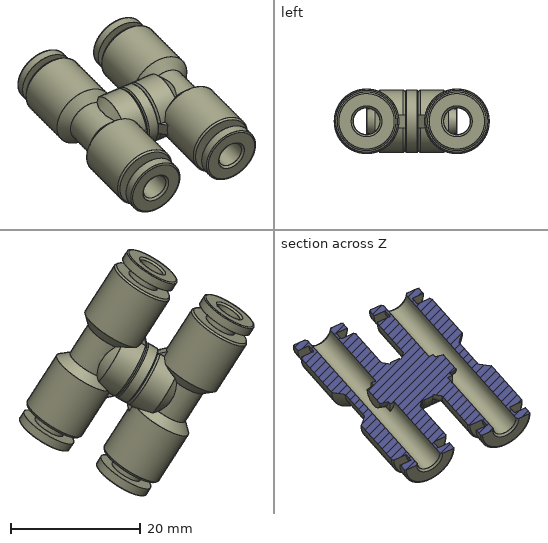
import cadquery as cq

length = 32.2
width = 24.0
height = 10.0
body_radius = height / 2
tube_offset = width / 2 - body_radius

neck_radius = 3.48
neck_half_length = 2.75
taper_end = 4.2
body_end = 13.27
body_chamfer_length = 0.32
body_chamfer_depth = 0.23
stem_radius = 2.55
collar_radius = 4.55
collar_width = 1.48
collar_chamfer_length = 0.13
collar_chamfer_depth = 0.25
bore_radius = 2.05
bore_chamfer = 0.32

bridge_radius = 4.85
cone_start = 0.7
cone_end = cone_start + bridge_radius - neck_radius
ring_half_width = 0.8
groove_position = 1.0
groove_radius = 4.6
groove_outer_edge = 1.32

web_thickness = 2.0
web_root_y = 2.58

stop_overlap = 0.15
stop_height = 2 * (bore_radius + stop_overlap)
stop_near_edge = 1.3
stop_far_edge = 2.4
pin_tip_radius = 1.87
pin_radius = 2.13
pin_taper_length = 1.03


def make_tube():
    """Solid tube along X through the origin, with a push-in collar at each end."""
    end = length / 2
    collar_back = end - collar_width
    half_profile = [
        (neck_half_length, neck_radius),
        (taper_end, body_radius),
        (body_end - body_chamfer_length, body_radius),
        (body_end, body_radius - body_chamfer_depth),
        (body_end, stem_radius),
        (collar_back, stem_radius),
        (collar_back, collar_radius),
        (end - collar_chamfer_length, collar_radius),
        (end, collar_radius - collar_chamfer_depth),
        (end, 0),
    ]
    mirrored = [(-x, r) for x, r in reversed(half_profile)]
    profile = cq.Workplane("XY").polyline(mirrored + half_profile).close()
    return profile.revolve(360, (0, 0), (1, 0))


def make_bore():
    """Through bore along X with a chamfered mouth at each end."""
    end = length / 2
    mouth_radius = bore_radius + bore_chamfer
    shoulder = end - bore_chamfer
    profile = cq.Workplane("XY").polyline([
        (-end, 0),
        (-end, mouth_radius),
        (-shoulder, bore_radius),
        (shoulder, bore_radius),
        (end, mouth_radius),
        (end, 0),
    ]).close()
    return profile.revolve(360, (0, 0), (1, 0))


def make_bridge():
    """Solid round bridge along Y between the two tube axes, with two V grooves."""
    half_profile = [
        (bridge_radius, ring_half_width),
        (groove_radius, groove_position),
        (bridge_radius, groove_outer_edge),
        (bridge_radius, tube_offset - cone_end),
        (neck_radius, tube_offset - cone_start),
        (neck_radius, tube_offset),
        (0, tube_offset),
    ]
    mirrored = [(r, -y) for r, y in reversed(half_profile)]
    profile = cq.Workplane("XY").polyline(mirrored + half_profile).close()
    return profile.revolve(360, (0, 0), (0, 1))


def make_web(y_side):
    """Flat web from the bridge to one tube, widening at 45 degrees towards the tube."""
    root_half_width = groove_radius + web_root_y - groove_position
    outline = cq.Workplane("XY").polyline([
        (-groove_radius, y_side * groove_position),
        (groove_radius, y_side * groove_position),
        (root_half_width, y_side * web_root_y),
        (-root_half_width, y_side * web_root_y),
    ]).close()
    return outline.extrude(web_thickness / 2, both=True)


def make_stop():
    """Bore stop for a tube on the X axis, filling the bore on its +Y side."""
    pin = cq.Workplane("XY").polyline([
        (0, 0),
        (pin_tip_radius, 0),
        (pin_radius, pin_taper_length),
        (pin_radius, stop_far_edge),
        (0, stop_far_edge),
    ]).close().revolve(360, (0, 0), (0, 1))
    block = cq.Workplane("XY").box(
        2 * neck_half_length,
        stop_far_edge - stop_near_edge,
        stop_height,
    ).translate((0, (stop_near_edge + stop_far_edge) / 2, 0))
    return pin.union(block)


result = make_bridge()
for side in (-1, 1):
    centre = (0, side * tube_offset, 0)
    stop = make_stop()
    if side > 0:
        stop = stop.mirror("XZ")
    result = result.union(make_tube().translate(centre)).union(make_web(side))
    result = result.cut(make_bore().translate(centre)).union(stop.translate(centre))